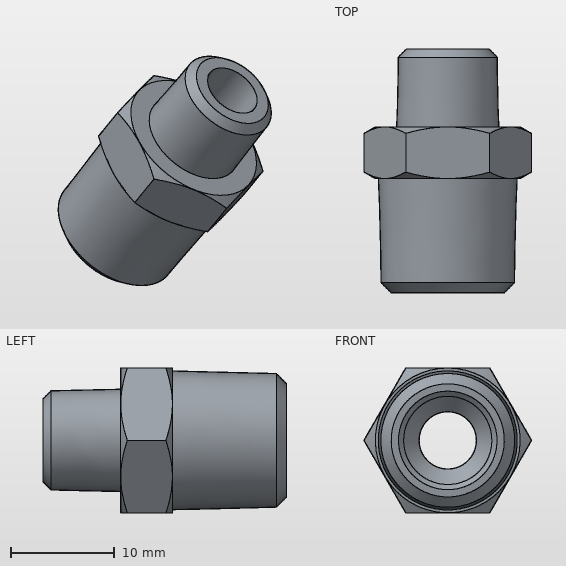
import cadquery as cq
import math


across_flats = 14.0
hex_thickness = 5.0
hex_chamfer_diameter = 13.95
hex_chamfer_angle = 30.0

large_length = 11.0
large_root_diameter = 13.4
large_tip_diameter = 12.9
large_chamfer = 1.0

small_length = 7.5
small_root_diameter = 9.88
small_tip_diameter = 9.58
small_chamfer = 0.8

bore_diameter = 5.5
counterbore_diameter = 8.5
counterbore_depth = large_length
counterbore_mouth_chamfer = 0.5
drill_point_angle = 90.0

across_corners = across_flats / math.cos(math.radians(30))
hex_front = large_length
hex_back = hex_front + hex_thickness
total_length = hex_back + small_length


def revolve_about_axis(points):
    """Revolve a closed (radius, y) outline, drawn in the YZ plane, about the Y axis."""
    outline = cq.Workplane("YZ").polyline([(y, radius) for radius, y in points]).close()
    return outline.revolve(360, (0, 0, 0), (1, 0, 0))


def make_hexagon():
    """Hexagonal collar with corners on the X axis and both rims chamfered by a cone."""
    prism = (
        cq.Workplane("XZ", origin=(0, hex_back, 0))
        .polygon(6, across_corners)
        .extrude(hex_thickness)
    )
    rim_radius = hex_chamfer_diameter / 2
    corner_radius = across_corners / 2
    drop = (corner_radius - rim_radius) * math.tan(math.radians(hex_chamfer_angle))
    envelope = revolve_about_axis([
        (0, hex_front),
        (rim_radius, hex_front),
        (corner_radius, hex_front + drop),
        (corner_radius, hex_back - drop),
        (rim_radius, hex_back),
        (0, hex_back),
    ])
    return prism.intersect(envelope)


def make_tapered_end(root_y, tip_y, root_diameter, tip_diameter, chamfer):
    """Slightly conical spigot with a 45 degree chamfer at its tip."""
    inward = math.copysign(chamfer, root_y - tip_y)
    return revolve_about_axis([
        (0, root_y),
        (root_diameter / 2, root_y),
        (tip_diameter / 2, tip_y + inward),
        (tip_diameter / 2 - chamfer, tip_y),
        (0, tip_y),
    ])


def make_passage():
    """Through bore with a drilled counterbore opening at the large end."""
    bore_radius = bore_diameter / 2
    counterbore_radius = counterbore_diameter / 2
    half_point_angle = math.radians(drill_point_angle / 2)
    cone_length = (counterbore_radius - bore_radius) / math.tan(half_point_angle)
    return revolve_about_axis([
        (0, 0),
        (counterbore_radius + counterbore_mouth_chamfer, 0),
        (counterbore_radius, counterbore_mouth_chamfer),
        (counterbore_radius, counterbore_depth),
        (bore_radius, counterbore_depth + cone_length),
        (bore_radius, total_length),
        (0, total_length),
    ])


large_end = make_tapered_end(
    hex_front, 0, large_root_diameter, large_tip_diameter, large_chamfer
)
small_end = make_tapered_end(
    hex_back, total_length, small_root_diameter, small_tip_diameter, small_chamfer
)
body = make_hexagon().union(large_end).union(small_end)
result = body.cut(make_passage())